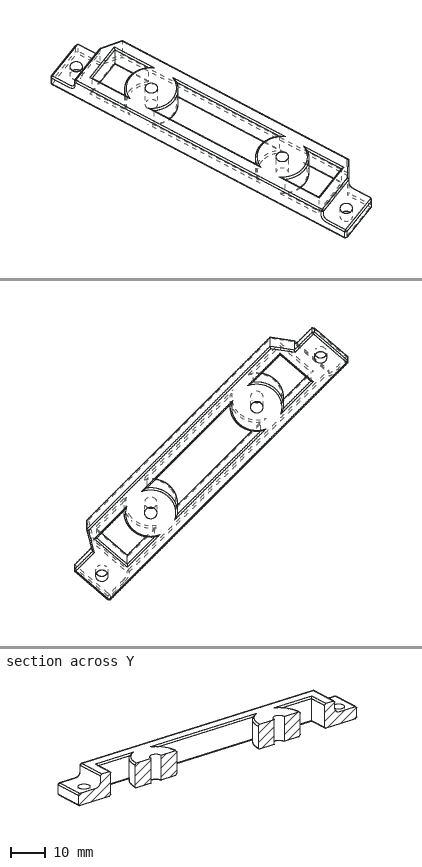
import cadquery as cq

length = 102.0
width = 20.0
height = 8.0
edge_chamfer = 0.5

tab_width = 14.1
tab_height = 4.0
tab_length = 8.1
tab_fillet = 1.5
tab_hole_inset = 4.5

back_edge_length = 78.0
opening_length = 78.0
frame_wall = 4.0

boss_spacing = 45.1
boss_diameter = 15.5

hole_diameter = 3.6

half_length = length / 2
front_y = -width / 2
tab_back_y = front_y + tab_width
frame_half_length = half_length - tab_length
boss_x_positions = (-boss_spacing / 2, boss_spacing / 2)


def frame_blank():
    """Plan outline with sloped back corners, stepped down at both tabs."""
    blank = (
        cq.Workplane("XY")
        .polyline([
            (-half_length, front_y),
            (half_length, front_y),
            (half_length, tab_back_y),
            (frame_half_length, tab_back_y),
            (back_edge_length / 2, width / 2),
            (-back_edge_length / 2, width / 2),
            (-frame_half_length, tab_back_y),
            (-half_length, tab_back_y),
        ])
        .close()
        .extrude(height)
    )
    for side in (-1, 1):
        step = (
            cq.Workplane("XY")
            .box(tab_length, tab_width, height - tab_height, centered=(True, False, False))
            .translate((side * (half_length - tab_length / 2), front_y, tab_height))
        )
        inner_edge = "<X" if side > 0 else ">X"
        step = step.faces(inner_edge).edges("<Z").fillet(tab_fillet)
        blank = blank.cut(step)
    return blank


def chamfer_outside(body):
    """Break the edges of the bottom, top, front and end faces."""
    return body.faces("<Z or >Z or <Y or <X or >X").edges().chamfer(edge_chamfer)


def opening_tool():
    """Rectangular window, minus the bosses."""
    window = (
        cq.Workplane("XY")
        .rect(opening_length, width - 2 * frame_wall)
        .extrude(height)
    )
    bosses = (
        cq.Workplane("XY")
        .pushPoints([(x, 0) for x in boss_x_positions])
        .circle(boss_diameter / 2)
        .extrude(height)
    )
    return window.cut(bosses)


def chamfer_window_rims(body):
    """Chamfer the top and bottom edges of the three window parts."""
    margin = edge_chamfer / 2
    reach_x = opening_length / 2 + margin
    reach_y = width / 2 - frame_wall + margin
    for level in (0, height):
        rim = cq.selectors.BoxSelector(
            (-reach_x, -reach_y, level - margin),
            (reach_x, reach_y, level + margin),
        )
        body = body.edges(rim).chamfer(edge_chamfer)
    return body


def drill_holes(body):
    """Through holes in the bosses and in the middle of the tabs."""
    tab_hole_x = half_length - tab_hole_inset
    tab_hole_y = front_y + tab_width / 2
    centres = [(x, 0) for x in boss_x_positions]
    centres += [(side * tab_hole_x, tab_hole_y) for side in (-1, 1)]
    drills = (
        cq.Workplane("XY")
        .pushPoints(centres)
        .circle(hole_diameter / 2)
        .extrude(height)
    )
    return body.cut(drills)


frame = chamfer_outside(frame_blank())
frame = frame.cut(opening_tool())
frame = chamfer_window_rims(frame)
result = drill_holes(frame)